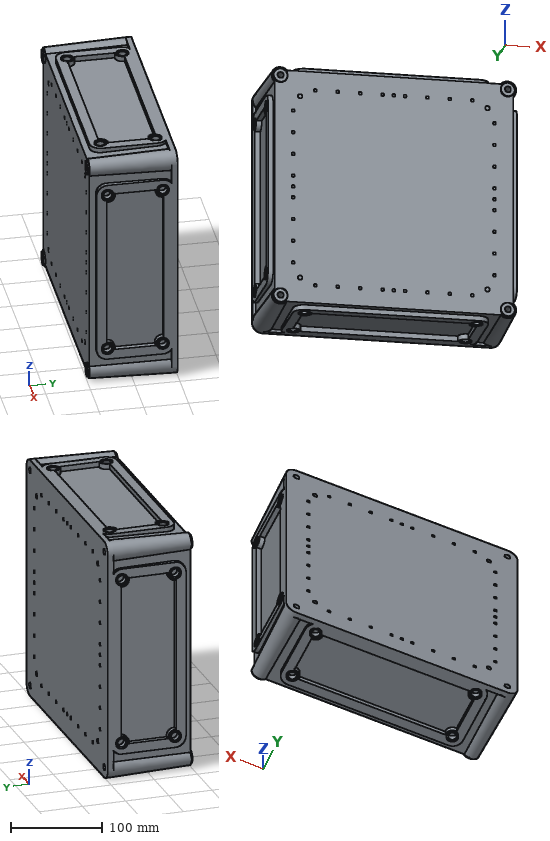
import cadquery as cq
import math

WIDTH = 279.0
DEPTH = 100.0
HALF_WIDTH = WIDTH / 2
BACK_Y = DEPTH / 2

FLANGE_DEPTH = 6.7
CORNER_RADIUS = 12.3
FOOT_HEIGHT = 2.0
BODY_DEPTH = DEPTH - FLANGE_DEPTH - FOOT_HEIGHT
BODY_WIDTH_AT_FLANGE = 272.3
BODY_CORNER_RADIUS = 9.5
DRAFT = 2.5
DRAFT_ANGLE = math.degrees(math.atan(DRAFT / BODY_DEPTH))
COLUMN_OFFSET = HALF_WIDTH - CORNER_RADIUS
COLUMN_TIP_RADIUS = CORNER_RADIUS - DRAFT
FOOT_RADIUS = 7.8
SCREW_HOLE_RADIUS = 3.3

PAD_LENGTH = 218.7
PAD_HEIGHT = 86.5
PAD_CORNER_RADIUS = 12.3
PAD_CENTRE_FROM_BACK = 47.5
PAD_ROOT = 14.0
WINDOW_LENGTH = 195.9
WINDOW_HEIGHT = 63.5
WINDOW_DEPTH = 6.0
LUG_X = 96.5
LUG_Y = 31.0
LUG_RADIUS = 8.5
LUG_BORE_RADIUS = 6.7
LUG_BORE_DEPTH = 1.0
LUG_HOLE_RADIUS = 4.7
LUG_HOLE_DEPTH = 8.5

FRONT_SKIN = 0.78
BLIND_HOLE_DEPTH = FLANGE_DEPTH + BODY_DEPTH - FRONT_SKIN
ROW_HOLE_RADIUS = 1.7
ROW_OFFSET = 112.7
ROW_PITCH = 25.0
ROW_PITCHES = (0.5, 1.5, 2.5, 3.5)
CORNER_HOLE_RADIUS = 2.5
CORNER_HOLE_OFFSET = 105.0

QUARTER_TURNS = (0, 90, 180, 270)


def plane_from_back(distance):
    """XZ workplane at a distance in front of the back face; it extrudes towards -Y."""
    return cq.Workplane("XZ", origin=(0, BACK_Y - distance, 0))


def square_corners(offset):
    return [(x, z) for x in (-offset, offset) for z in (-offset, offset)]


def turned(shape, angle):
    """Copy of a shape turned about the Y axis through the middle of the part."""
    return shape.rotate((0, 0, 0), (0, 1, 0), angle)


def make_flange_and_body():
    flange = plane_from_back(0).rect(WIDTH, WIDTH).extrude(FLANGE_DEPTH)
    flange = flange.edges("|Y").fillet(CORNER_RADIUS)
    body_outline = cq.Sketch().rect(BODY_WIDTH_AT_FLANGE, BODY_WIDTH_AT_FLANGE)
    body_outline = body_outline.vertices().fillet(BODY_CORNER_RADIUS)
    body = plane_from_back(FLANGE_DEPTH).placeSketch(body_outline).extrude(BODY_DEPTH, taper=DRAFT_ANGLE)
    return flange.union(body)


def make_columns():
    centres = square_corners(COLUMN_OFFSET)
    column_base_y = BACK_Y - FLANGE_DEPTH
    towards_front = cq.Vector(0, -1, 0)
    columns = cq.Workplane()
    for x, z in centres:
        base = cq.Vector(x, column_base_y, z)
        columns.add(cq.Solid.makeCone(CORNER_RADIUS, COLUMN_TIP_RADIUS, BODY_DEPTH, base, towards_front))
    feet = (
        plane_from_back(FLANGE_DEPTH + BODY_DEPTH)
        .pushPoints(centres)
        .circle(FOOT_RADIUS)
        .extrude(FOOT_HEIGHT)
    )
    return columns.combine().union(feet)


def top_plane():
    """Workplane on the top face, centred on the pad."""
    return cq.Workplane("XY", origin=(0, BACK_Y - PAD_CENTRE_FROM_BACK, HALF_WIDTH))


def lug_cylinders(radius, depth):
    centres = [(x, y) for x in (-LUG_X, LUG_X) for y in (-LUG_Y, LUG_Y)]
    return top_plane().pushPoints(centres).circle(radius).extrude(-depth)


def make_pad():
    pad = top_plane().rect(PAD_LENGTH, PAD_HEIGHT).extrude(-PAD_ROOT)
    return pad.edges("|Z").fillet(PAD_CORNER_RADIUS)


def make_pad_cut():
    window = top_plane().rect(WINDOW_LENGTH, WINDOW_HEIGHT).extrude(-WINDOW_DEPTH)
    window = window.cut(lug_cylinders(LUG_RADIUS, WINDOW_DEPTH))
    counterbores = lug_cylinders(LUG_BORE_RADIUS, LUG_BORE_DEPTH)
    holes = lug_cylinders(LUG_HOLE_RADIUS, LUG_HOLE_DEPTH)
    return window.union(counterbores).union(holes)


def make_mounting_holes():
    """Blind holes from the back, in one row along each side plus one near each corner."""
    row = [(side * n * ROW_PITCH, ROW_OFFSET) for n in ROW_PITCHES for side in (-1, 1)]
    row.append((0, ROW_OFFSET))
    back = plane_from_back(0)
    one_row = back.pushPoints(row).circle(ROW_HOLE_RADIUS).extrude(BLIND_HOLE_DEPTH)
    holes = back.pushPoints(square_corners(CORNER_HOLE_OFFSET)).circle(CORNER_HOLE_RADIUS)
    holes = holes.extrude(BLIND_HOLE_DEPTH)
    for angle in QUARTER_TURNS:
        holes = holes.union(turned(one_row, angle))
    return holes


def make_screw_holes():
    centres = square_corners(COLUMN_OFFSET)
    return plane_from_back(0).pushPoints(centres).circle(SCREW_HOLE_RADIUS).extrude(DEPTH)


result = make_flange_and_body().union(make_columns())
for angle in QUARTER_TURNS:
    result = result.union(turned(make_pad(), angle))
    result = result.cut(turned(make_pad_cut(), angle))
result = result.cut(make_screw_holes()).cut(make_mounting_holes())